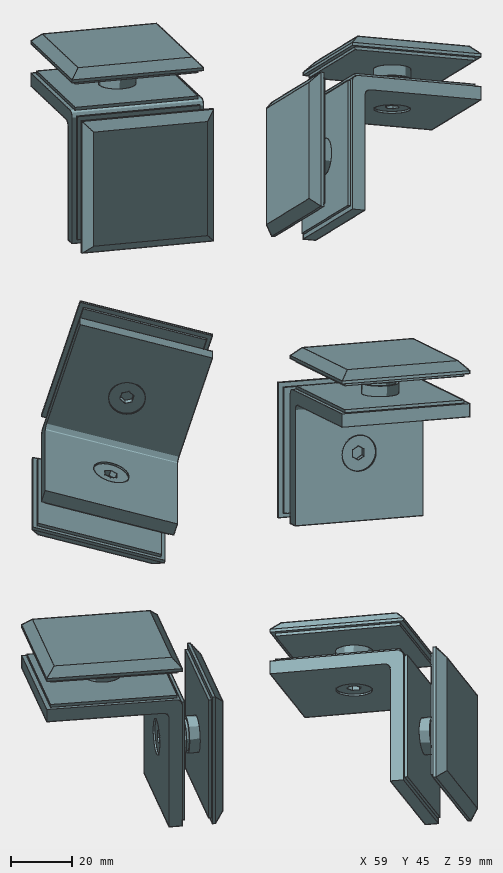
import cadquery as cq
import math

overall = 59.0
width = 45.0
leg_thickness = 4.4
inner_radius = 2.0
outer_radius = 2.0

bevel = 3.0
plate_rim = 1.0
gasket_thickness = 1.0
gasket_side = 42.0

collar_diameter = 12.2
collar_gap = 1.0
shank_diameter = 10.5

head_diameter = 12.0
head_height = 3.0
head_recess = 0.65
hex_across_flats = 4.1
hex_depth = 2.0
hex_across_corners = hex_across_flats / math.cos(math.pi / 6)

clamp_height = overall - width
plate_thickness = bevel + plate_rim
plate_base = clamp_height - plate_thickness
glass_gap = plate_base - 2 * gasket_thickness
collar_length = (glass_gap - collar_gap) / 2
head_end = head_recess + head_height - leg_thickness

leg_middle = width / 2
top_clamp = cq.Plane(origin=(leg_middle, 0, 0), xDir=(1, 0, 0), normal=(0, 0, 1))
side_clamp = cq.Plane(origin=(width, 0, -leg_middle), xDir=(0, 0, -1), normal=(1, 0, 0))
clamps = [top_clamp, side_clamp]


def cylinder(plane, diameter, start, end):
    """Cylinder on the clamp axis between two heights."""
    return cq.Workplane(plane).workplane(offset=start).circle(diameter / 2).extrude(end - start)


def make_bracket():
    """Right-angle bracket with a stepped screw hole in each leg."""
    inner_x = width - leg_thickness
    bracket = (
        cq.Workplane("XZ")
        .polyline([
            (0, 0),
            (width, 0),
            (width, -width),
            (inner_x, -width),
            (inner_x, -leg_thickness),
            (0, -leg_thickness),
        ])
        .close()
        .extrude(width / 2, both=True)
    )
    bracket = bracket.edges(cq.selectors.NearestToPointSelector((width, 0, 0))).fillet(outer_radius)
    inner_corner = (inner_x, 0, -leg_thickness)
    bracket = bracket.edges(cq.selectors.NearestToPointSelector(inner_corner)).fillet(inner_radius)
    for plane in clamps:
        bracket = bracket.cut(cylinder(plane, head_diameter, -leg_thickness, head_end))
        bracket = bracket.cut(cylinder(plane, shank_diameter, head_end, 0))
    return bracket


def make_cover_plate(plane):
    """Square plate, bevelled all round its outer face."""
    return (
        cq.Workplane(plane)
        .workplane(offset=plate_base)
        .rect(width, width)
        .extrude(plate_thickness)
        .faces(cq.selectors.DirectionMinMaxSelector(plane.zDir))
        .chamfer(bevel)
    )


def make_gasket(plane, outer_face, inward):
    """Square gasket on outer_face, with a collar reaching into the glass gap.

    inward is +1 or -1, the direction along the clamp axis toward the gap.
    """
    collar_end = outer_face + inward * (gasket_thickness + collar_length)
    pad = (
        cq.Workplane(plane)
        .workplane(offset=outer_face)
        .rect(gasket_side, gasket_side)
        .extrude(inward * gasket_thickness)
    )
    collar = cylinder(plane, collar_diameter, outer_face, collar_end)
    bore = cylinder(plane, shank_diameter, outer_face, collar_end)
    return pad.union(collar).cut(bore)


def make_screw(plane):
    """Hex socket screw from its head in the bracket leg to the inner face of the cover plate."""
    head_face = head_end - head_height
    head = cylinder(plane, head_diameter, head_face, head_end)
    shank = cylinder(plane, shank_diameter, head_end, plate_base)
    socket = (
        cq.Workplane(plane)
        .workplane(offset=head_face)
        .polygon(6, hex_across_corners)
        .extrude(hex_depth)
    )
    return head.union(shank).cut(socket)


bodies = [make_bracket().val()]
for clamp in clamps:
    bodies.append(make_cover_plate(clamp).val())
    bodies.append(make_gasket(clamp, 0, 1).val())
    bodies.append(make_gasket(clamp, plate_base, -1).val())
    bodies.append(make_screw(clamp).val())

result = cq.Compound.makeCompound(bodies)